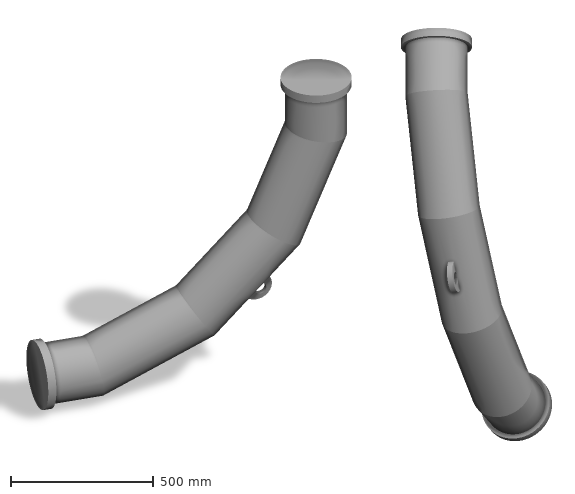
import cadquery as cq
import math

BEND_RADIUS = 1030.0
BEND_ANGLE = 90.0
MITRE_COUNT = 4
PIPE_DIAMETER = 219.1
FLANGE_DIAMETER = 250.0
FLANGE_THICKNESS = 30.0

LUG_DIAMETER = 114.0
LUG_THICKNESS = 20.0
LUG_HOLE_DIAMETER = 45.0
LUG_STANDOFF = 1.0
LUG_HOLE_STANDOFF = 20.5

MITRE_TURN = BEND_ANGLE / MITRE_COUNT
MITRE_RADIUS = BEND_RADIUS / math.cos(math.radians(MITRE_TURN / 2))


def bend_point(radius, angle):
    """Point (y, z) at a radius from the bend centre, turned from +Y towards -Z."""
    turn = math.radians(angle)
    return radius * math.cos(turn), -radius * math.sin(turn)


def make_pipe():
    mitres = [bend_point(MITRE_RADIUS, (i + 0.5) * MITRE_TURN) for i in range(MITRE_COUNT)]
    start = bend_point(BEND_RADIUS, 0)
    end = bend_point(BEND_RADIUS, BEND_ANGLE)
    path = cq.Workplane("YZ").polyline([start, *mitres, end])
    section = cq.Workplane("XY").center(0, BEND_RADIUS).circle(PIPE_DIAMETER / 2)
    return section.sweep(path, transition="right")


def make_flange(plane, axis_position, depth):
    return (
        cq.Workplane(plane)
        .center(0, axis_position)
        .circle(FLANGE_DIAMETER / 2)
        .extrude(depth)
    )


def lug_disc(standoff, diameter):
    """Disc across the lug thickness, centred beyond the pipe wall, halfway along the bend."""
    distance = BEND_RADIUS + PIPE_DIAMETER / 2 + standoff
    return (
        cq.Workplane("YZ")
        .center(*bend_point(distance, BEND_ANGLE / 2))
        .circle(diameter / 2)
        .extrude(LUG_THICKNESS / 2, both=True)
    )


def make_lug():
    disc = lug_disc(LUG_STANDOFF, LUG_DIAMETER)
    hole = lug_disc(LUG_HOLE_STANDOFF, LUG_HOLE_DIAMETER)
    return disc.cut(hole)


top_flange = make_flange("XY", BEND_RADIUS, -FLANGE_THICKNESS)
side_flange = make_flange("XZ", -BEND_RADIUS, -FLANGE_THICKNESS)

result = make_pipe().union(top_flange).union(side_flange).union(make_lug())